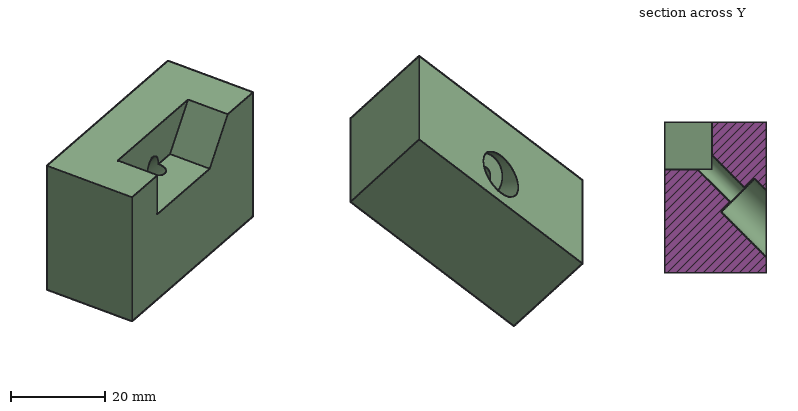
import cadquery as cq
import math

width = 21.6
length = 47.0
height = 32.0

pocket_wall_x = 11.55
pocket_margin = 9.85
pocket_depth = 10.0
slope_angle = math.radians(35)
slope_run = pocket_depth * math.tan(slope_angle)
floor_z = height - pocket_depth

hole_diameter = 4.3
counterbore_diameter = 10.0
hole_angle = math.radians(45)
shoulder_distance = 8.55
hole_y = length / 2
entry_z = floor_z - pocket_wall_x * math.tan(hole_angle)

axis = cq.Vector(math.cos(hole_angle), 0, math.sin(hole_angle))
entry = cq.Vector(0, hole_y, entry_z)
overrun = counterbore_diameter


def make_block():
    return cq.Workplane("XY").box(width, length, height, centered=False)


def make_pocket():
    near_y = pocket_margin
    far_y = length - pocket_margin
    profile = [
        (near_y, height),
        (near_y, floor_z),
        (far_y - slope_run, floor_z),
        (far_y, height),
    ]
    plane = cq.Workplane("YZ", origin=(pocket_wall_x, 0, 0))
    return plane.polyline(profile).close().extrude(width - pocket_wall_x)


def axis_cylinder(diameter, start, end):
    """Cylinder on the hole axis between two distances from its entry point."""
    base = entry + axis * start
    return cq.Workplane(obj=cq.Solid.makeCylinder(diameter / 2, end - start, base, axis))


distance_to_floor = pocket_wall_x / math.cos(hole_angle)
hole = axis_cylinder(hole_diameter, 0, distance_to_floor + hole_diameter)
counterbore = axis_cylinder(counterbore_diameter, -overrun, shoulder_distance)

result = make_block().cut(make_pocket()).cut(hole).cut(counterbore)